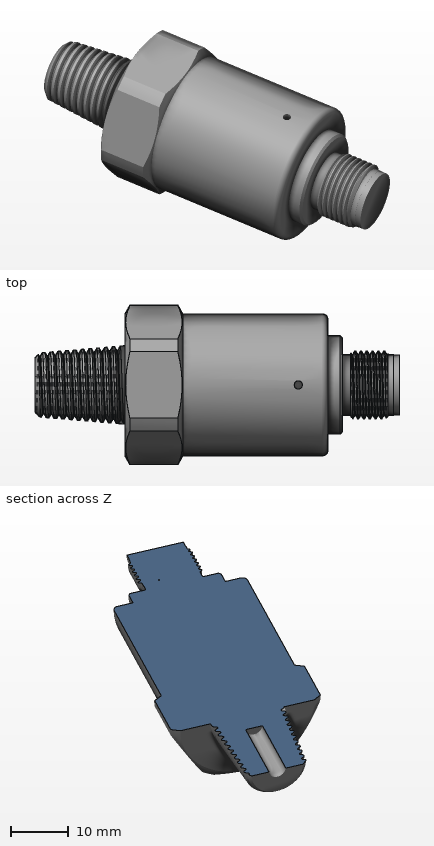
import math

import cadquery as cq


HEX_START = 15.5
HEX_END = 25.5
BODY_END = 50.52
FLANGE_END = 53.02
PLUG_THREAD_START = 54.4
PLUG_THREAD_END = 60.9
PLUG_COLLAR_START = 61.8
TOTAL_LENGTH = 62.85

STEM_TIP_RADIUS = 5.55
STEM_BASE_RADIUS = 6.78
STEM_TIP_CHAMFER = 0.85
STEM_PITCH = 1.337
STEM_TURNS = 12
STEM_GROOVE_END = 14.85
STEM_ROOT_RADIUS = 6.02
STEM_ROOT_TAPER = 4.4
PORT_DIAMETER = 3.0
PORT_DEPTH = 12.0

HEX_SIDES = 6
HEX_ACROSS_FLATS = 25.0
HEX_CORNER_DIAMETER = 27.5
HEX_CHAMFER_ANGLE = 30.0

BODY_RADIUS = 12.25
BODY_END_FILLET = 1.0
FLANGE_RADIUS = 8.5
FLANGE_CHAMFER = 0.4
VENT_DIAMETER = 1.4
VENT_DEPTH = 2.0
VENT_POSITION = 45.4

PLUG_RADIUS = 5.25
PLUG_COLLAR_RADIUS = 5.2
PLUG_THREAD_RADIUS = 5.85
PLUG_THREAD_CHAMFER = 0.45
PLUG_PITCH = 1.0
PLUG_ROOT_RADIUS = 5.28
PLUG_GROOVE_AT_TOP = 54.97

THREAD_ANGLE = 60.0
LEAD_IN_TURNS = 2
ROOT_WIDTH = 0.16
MOUTH_TO_PITCH = 0.92
STRAIGHT_HELIX = 360.0


def rod(start, end, radius):
    """Cylinder on the X axis from start to end."""
    return cq.Workplane("YZ", origin=(start, 0, 0)).circle(radius).extrude(end - start)


def thread_cutter(start, start_direction, root_radius, pitch, turns, taper=None):
    """Right-hand V groove winding toward +X from the given side; its root widens by the taper angle."""
    slope = math.cos(math.radians(taper or 0))
    helix_angle = taper or STRAIGHT_HELIX
    helix = cq.Wire.makeHelix(pitch / slope, turns * pitch / slope, root_radius, angle=helix_angle)
    half_root = ROOT_WIDTH / 2
    half_mouth = MOUTH_TO_PITCH * pitch / 2
    mouth_radius = root_radius + (half_mouth - half_root) / math.tan(math.radians(THREAD_ANGLE / 2))
    section = (
        cq.Workplane("XZ")
        .moveTo(root_radius, -half_root)
        .lineTo(mouth_radius, -half_mouth)
        .lineTo(mouth_radius, half_mouth)
        .lineTo(root_radius, half_root)
        .close()
    )
    cutter = section.sweep(cq.Workplane(helix), isFrenet=True)
    axis = cq.Plane(origin=(start, 0, 0), xDir=start_direction, normal=(1, 0, 0))
    return cq.Workplane(cutter.val().moved(axis.location))


def make_stem():
    blank = (
        cq.Workplane("XY")
        .moveTo(0, 0)
        .lineTo(0, STEM_TIP_RADIUS - STEM_TIP_CHAMFER)
        .lineTo(STEM_TIP_CHAMFER, STEM_TIP_RADIUS)
        .lineTo(HEX_START, STEM_BASE_RADIUS)
        .lineTo(HEX_START, 0)
        .close()
        .revolve(360, (0, 0, 0), (1, 0, 0))
    )
    groove_length = STEM_TURNS * STEM_PITCH
    start_radius = STEM_ROOT_RADIUS - groove_length * math.tan(math.radians(STEM_ROOT_TAPER))
    groove = thread_cutter(
        STEM_GROOVE_END - groove_length,
        (0, -1, 0),
        start_radius,
        STEM_PITCH,
        STEM_TURNS,
        STEM_ROOT_TAPER,
    )
    return blank.cut(groove)


def make_hexagon():
    length = HEX_END - HEX_START
    across_corners = HEX_ACROSS_FLATS / math.cos(math.pi / HEX_SIDES)
    prism = cq.Workplane("YZ", origin=(HEX_START, 0, 0)).polygon(HEX_SIDES, across_corners).extrude(length)
    radial_chamfer = HEX_CORNER_DIAMETER / 2 - BODY_RADIUS
    axial_chamfer = radial_chamfer * math.tan(math.radians(HEX_CHAMFER_ANGLE))
    envelope = (
        rod(HEX_START, HEX_END, HEX_CORNER_DIAMETER / 2)
        .faces("<X or >X")
        .edges()
        .chamfer(axial_chamfer, radial_chamfer)
    )
    return prism.intersect(envelope)


def make_body():
    body = rod(HEX_END, BODY_END, BODY_RADIUS).faces(">X").edges().fillet(BODY_END_FILLET)
    flange = rod(BODY_END, FLANGE_END, FLANGE_RADIUS).faces(">X").edges().chamfer(FLANGE_CHAMFER)
    return body.union(flange)


def make_plug():
    threaded = rod(PLUG_THREAD_START, PLUG_THREAD_END, PLUG_THREAD_RADIUS)
    envelope = threaded.faces("<X or >X").edges().chamfer(PLUG_THREAD_CHAMFER)
    turns = math.ceil((PLUG_THREAD_END - PLUG_THREAD_START) / PLUG_PITCH) + LEAD_IN_TURNS
    groove = thread_cutter(
        PLUG_GROOVE_AT_TOP - LEAD_IN_TURNS * PLUG_PITCH,
        (0, 0, 1),
        PLUG_ROOT_RADIUS,
        PLUG_PITCH,
        turns,
    )
    thread = threaded.cut(groove).intersect(envelope)
    core = rod(FLANGE_END, PLUG_COLLAR_START, PLUG_RADIUS)
    collar = rod(PLUG_COLLAR_START, TOTAL_LENGTH, PLUG_COLLAR_RADIUS)
    return thread.union(core).union(collar)


port = rod(0, PORT_DEPTH, PORT_DIAMETER / 2)
vent = (
    cq.Workplane("XY", origin=(VENT_POSITION, 0, BODY_RADIUS - VENT_DEPTH))
    .circle(VENT_DIAMETER / 2)
    .extrude(2 * VENT_DEPTH)
)

result = make_hexagon().union(make_body()).union(make_stem()).union(make_plug()).cut(port).cut(vent)